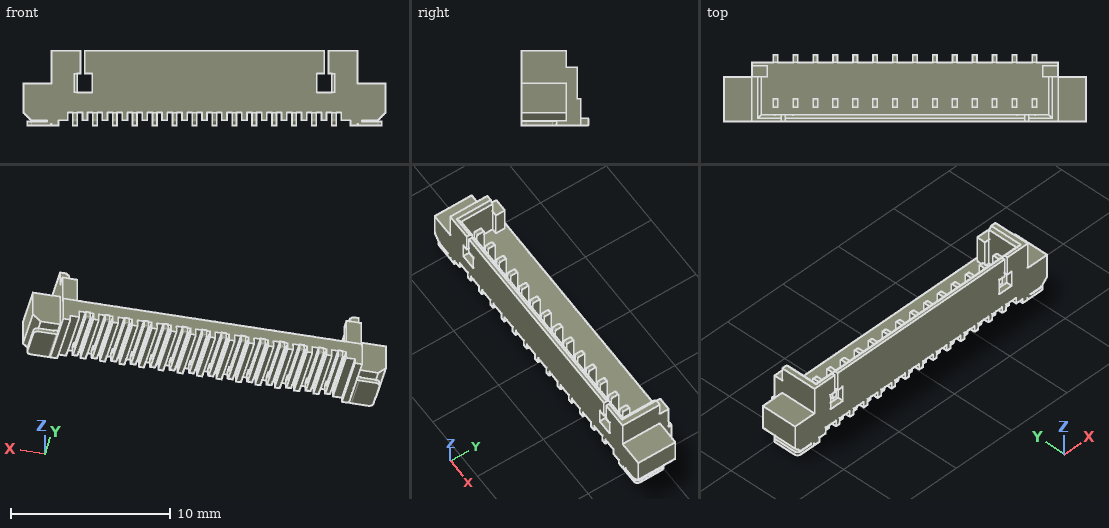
import cadquery as cq

HALF_LENGTH = 11.38
BODY_HALF = 9.62
HEIGHT = 4.7
BASE_DEPTH = 3.73
FLOOR_Z = 1.7
SIDE_WALL_DEPTH = 2.82
SIDE_WALL = 0.6
FRONT_WALL = 0.43
LEAD_IN = 0.2

POST_INNER_X = 8.67
POST_BACK_Y = 3.5
POST_TOP = 3.69

EAR_TOP = 2.66
EAR_BOTTOM = 0.32
EAR_CHAMFER = 0.5

WINDOW_INNER_X = 7.05
WINDOW_OUTER_X = 8.17
WINDOW_BOTTOM = 2.1
WINDOW_TOP = 3.28
SLOT_INNER_X = 7.53
SLOT_OUTER_X = 7.78

STANDOFF_INNER_X = 9.17
TOOTH_BOTTOM = 0.35
NOTCH_TOP = 0.82
NOTCH_WIDTH = 0.9

PIN_COUNT = 14
PIN_PITCH = 1.25
PIN_WIDTH = 0.3
PIN_FRONT_Y = 0.9
PIN_BACK_Y = 1.45
PIN_TOP = 3.87
PIN_TIP_FILLET = 0.1
LEG_FRONT_Y = 0.3
TAIL_END_Y = 4.2
TAIL_THICKNESS = 0.48
TAIL_END_FILLET = 0.07
BEND_RADIUS = 0.36

TAB_OUTER_X = 11.15
TAB_DEPTH = 2.2
TAB_THICKNESS = 0.27
TAB_LEG_TOP = 1.64
TAB_CORNER = 0.27
TAB_BEND_RADIUS = 0.14

PIN_XS = [(i - (PIN_COUNT - 1) / 2) * PIN_PITCH for i in range(PIN_COUNT)]


def block(x0, x1, y0, y1, z0, z1):
    """Box between two opposite corners."""
    return cq.Workplane("XY").box(x1 - x0, y1 - y0, z1 - z0, centered=False).translate((x0, y0, z0))


def both_ends(shape):
    """The shape together with its mirror image at the other end of the part."""
    return shape.union(shape.mirror("YZ"))


def make_shroud():
    """Base and walls, with the inner top edges of the walls chamfered."""
    base = block(-BODY_HALF, BODY_HALF, 0, BASE_DEPTH, 0, FLOOR_Z)
    walls = block(-BODY_HALF, BODY_HALF, 0, SIDE_WALL_DEPTH, FLOOR_Z, HEIGHT)
    inner_half = BODY_HALF - SIDE_WALL
    walls = walls.cut(block(-inner_half, inner_half, FRONT_WALL, SIDE_WALL_DEPTH, FLOOR_Z, HEIGHT))
    inner_edges = cq.selectors.BoxSelector(
        (-inner_half - LEAD_IN / 2, FRONT_WALL / 2, HEIGHT - LEAD_IN / 2),
        (inner_half + LEAD_IN / 2, SIDE_WALL_DEPTH - LEAD_IN / 2, HEIGHT + LEAD_IN / 2),
    )
    walls = walls.edges(inner_edges).chamfer(LEAD_IN)
    posts = both_ends(block(POST_INNER_X, BODY_HALF, SIDE_WALL_DEPTH, POST_BACK_Y, FLOOR_Z, POST_TOP))
    return base.union(walls).union(posts)


def make_ears():
    """Solid ears at both ends, chamfered along the lower outer edge."""
    ear = block(BODY_HALF, HALF_LENGTH, 0, SIDE_WALL_DEPTH, EAR_BOTTOM, EAR_TOP)
    return both_ends(ear.edges(">X and <Z").chamfer(EAR_CHAMFER))


def make_latch_openings():
    """Cutters for the window and slot pairs through the front wall."""
    window = block(WINDOW_INNER_X, WINDOW_OUTER_X, 0, FRONT_WALL, WINDOW_BOTTOM, WINDOW_TOP)
    slot = block(SLOT_INNER_X, SLOT_OUTER_X, 0, FRONT_WALL, WINDOW_TOP, HEIGHT)
    return both_ends(window.union(slot))


def make_underside_cuts():
    """Cutters that leave the standoffs and the row of teeth under the base."""
    cuts = block(-STANDOFF_INNER_X, STANDOFF_INNER_X, 0, BASE_DEPTH, 0, TOOTH_BOTTOM)
    for x in PIN_XS:
        half = NOTCH_WIDTH / 2
        cuts = cuts.union(block(x - half, x + half, 0, BASE_DEPTH, 0, NOTCH_TOP))
    return cuts


def make_contact(x):
    """Upright pin above the floor, and a leg under it bent into a tail that runs out at the back."""
    half = PIN_WIDTH / 2
    pin = block(-half, half, PIN_FRONT_Y, PIN_BACK_Y, FLOOR_Z, PIN_TOP)
    pin = pin.faces(">Z").edges("|X").fillet(PIN_TIP_FILLET)
    leg_back_y = LEG_FRONT_Y + TAIL_THICKNESS
    lead = (
        cq.Workplane("YZ")
        .moveTo(LEG_FRONT_Y, NOTCH_TOP)
        .lineTo(leg_back_y, NOTCH_TOP)
        .lineTo(leg_back_y, TAIL_THICKNESS)
        .lineTo(TAIL_END_Y, TAIL_THICKNESS)
        .lineTo(TAIL_END_Y, 0)
        .lineTo(LEG_FRONT_Y + BEND_RADIUS, 0)
        .radiusArc((LEG_FRONT_Y, BEND_RADIUS), BEND_RADIUS)
        .close()
        .extrude(half, both=True)
    )
    lead = lead.faces(">Y").edges("|X").fillet(TAIL_END_FILLET)
    return [pin.translate((x, 0, 0)), lead.translate((x, 0, 0))]


def make_solder_tabs():
    """Foot plates below the ears, each joined to its ear by a short bent leg."""
    foot = block(BODY_HALF, TAB_OUTER_X, 0, TAB_DEPTH, 0, TAB_THICKNESS)
    foot = foot.edges("|Z and >X").fillet(TAB_CORNER)
    leg = block(BODY_HALF, BODY_HALF + TAB_THICKNESS, 0, TAB_DEPTH, 0, TAB_LEG_TOP)
    tab = foot.union(leg).edges("<X and <Z").fillet(TAB_BEND_RADIUS)
    return both_ends(tab)


result = make_shroud().cut(make_latch_openings()).cut(make_underside_cuts())
result = result.union(make_ears()).union(make_solder_tabs())
for pin_x in PIN_XS:
    for piece in make_contact(pin_x):
        result = result.union(piece)